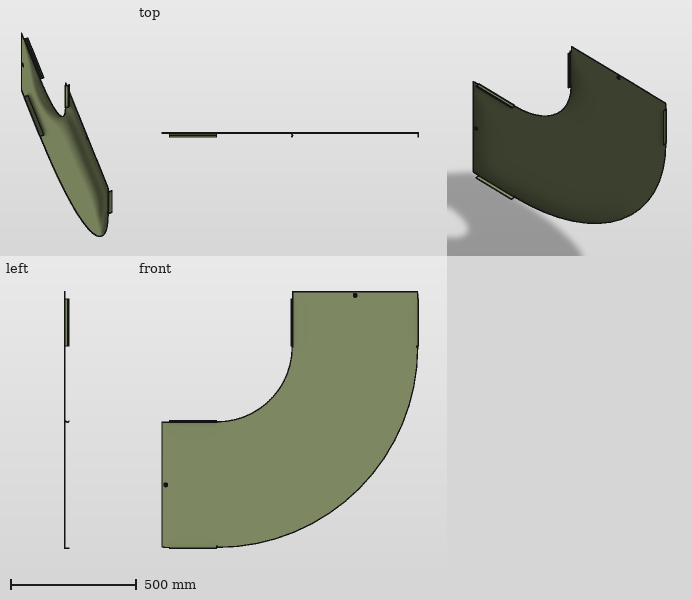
import cadquery as cq

overall = 1020.0
sheet = 2.0
flange_depth = 17.0
flange_overhang = 3.0
arm_length = 220.0
inner_radius = 297.0
cover_edge = overall - flange_overhang
outer_radius = cover_edge - arm_length
arc_center = (arm_length, overall - arm_length)

inner_setback = 2.0
inner_edge = arm_length + inner_radius + inner_setback

taper_length = 11.0
taper_width = 2.0

flange_start = 30.0
flange_length = 188.0
flange_end = flange_start + flange_length

relief_width = 6.0
relief_depth = 5.0

lip_reach = 6.0
crest_depth = 11.0
crest_offset = 1.0
tip_offset = 4.0

lock_inset = 15.0
lock_radius = 7.7
drill_radius = 3.0
seat_depth = sheet / 2


def box(x_min, x_max, z_min, z_max, thickness):
    """Block from the back face (Y = 0) towards -Y."""
    size = (x_max - x_min, thickness, z_max - z_min)
    return cq.Workplane("XY").box(*size, centered=False).translate((x_min, -thickness, z_min))


def mirror_arm(body):
    """Reflect the upright arm across the bend's diagonal to get the horizontal one."""
    return body.mirror(cq.Vector(1, 0, 1), (overall, 0, 0))


def flange(profile):
    """Extrude an X-Y section down the upright arm, starting below its end."""
    return profile.extrude(-flange_length).translate((0, 0, overall - flange_start))


def arc_band():
    """Quarter ring that joins the two arms."""
    ring = cq.Workplane("XZ").center(*arc_center).circle(outer_radius).circle(inner_radius)
    quadrant = box(arm_length, overall, 0, overall - arm_length, sheet)
    return ring.extrude(sheet).intersect(quadrant)


def arm_plate():
    """Upright arm with set-back inner edge and tapered outer corner."""
    bend_z = overall - arm_length
    return (
        cq.Workplane("XZ")
        .moveTo(inner_edge, bend_z)
        .lineTo(cover_edge, bend_z)
        .lineTo(cover_edge, overall - taper_length)
        .lineTo(cover_edge - taper_width, overall)
        .lineTo(inner_edge, overall)
        .close()
        .extrude(sheet)
    )


def outer_flange():
    """Plain flange turned towards -Y."""
    root = cover_edge - relief_depth
    section = (
        cq.Workplane("XY")
        .moveTo(root, 0)
        .lineTo(overall, 0)
        .lineTo(overall, -flange_depth)
        .lineTo(overall - sheet, -flange_depth)
        .lineTo(overall - sheet, -sheet)
        .lineTo(root, -sheet)
        .close()
    )
    return flange(section)


def inner_flange():
    """Snap flange: leans back under the plate to a crest, then its tip flares out again."""
    return flange(
        cq.Workplane("XY")
        .moveTo(inner_edge + sheet, 0)
        .lineTo(inner_edge - lip_reach, 0)
        .lineTo(inner_edge - lip_reach, -sheet)
        .lineTo(inner_edge - crest_offset, -crest_depth)
        .lineTo(inner_edge - tip_offset, -flange_depth)
        .lineTo(inner_edge - tip_offset + sheet, -flange_depth)
        .lineTo(inner_edge - crest_offset + sheet, -crest_depth)
        .lineTo(inner_edge - lip_reach + sheet, -sheet)
        .lineTo(inner_edge + sheet, -sheet)
        .close()
    )


def lock_seat():
    """Shallow round seat with a drilled centre, opening on the flange side."""
    mid = (inner_edge + cover_edge) / 2
    at = cq.Workplane("XZ", origin=(mid, -sheet, overall - lock_inset))
    seat = at.circle(lock_radius).extrude(-seat_depth)
    drill = at.circle(drill_radius).extrude(-sheet)
    return seat.union(drill)


def relief():
    """Notch in the plate edge just past the inner end of the outer flange."""
    z_top = overall - flange_end
    return box(cover_edge - relief_depth, overall, z_top - relief_width, z_top, sheet)


arm = arm_plate().cut(relief()).union(outer_flange()).union(inner_flange()).cut(lock_seat())
result = arc_band().union(arm).union(mirror_arm(arm))